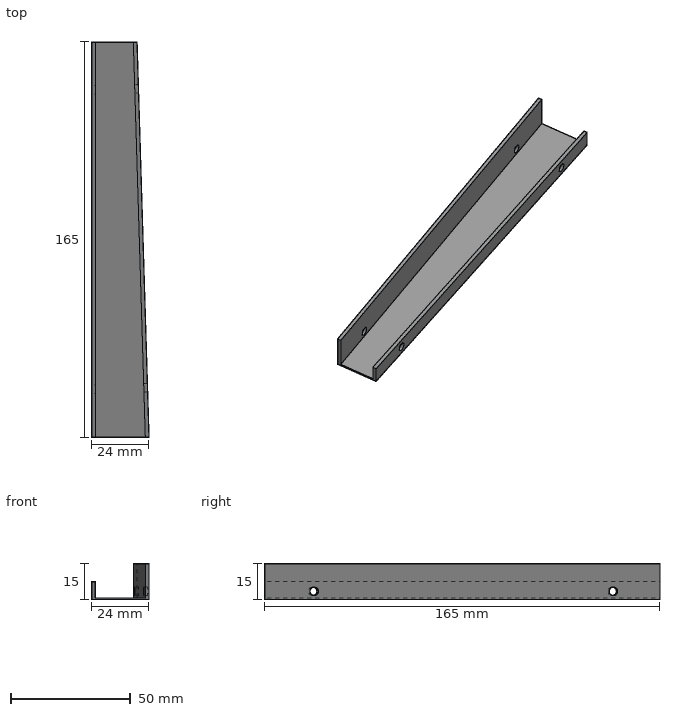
import cadquery as cq
import math

length = 165.0
front_width = 24.0
back_width = 19.0
tall_height = 15.0
low_height = 7.5
wall_thickness = 1.6
floor_thickness = 0.8

hole_diameter = 3.5
hole_end_distance = 20.0
hole_height = 3.5

taper_angle = math.atan((front_width - back_width) / length)
tall_wall_width_x = wall_thickness / math.cos(taper_angle)


def make_floor():
    """Base plate, narrower at the back end."""
    outline = [(0, 0), (front_width, 0), (back_width, length), (0, length)]
    return cq.Workplane("XY").polyline(outline).close().extrude(floor_thickness)


def make_low_wall():
    """Straight wall along the X = 0 side."""
    return cq.Workplane("XY").box(wall_thickness, length, low_height, centered=False)


def make_tall_wall():
    """Wall of even thickness that follows the tapered side."""
    outline = [
        (front_width - tall_wall_width_x, 0),
        (front_width, 0),
        (back_width, length),
        (back_width - tall_wall_width_x, length),
    ]
    return cq.Workplane("XY").polyline(outline).close().extrude(tall_height)


def make_hole_cutter(y):
    """Cylinder through both walls, centred in the low wall at y and square to the tall wall."""
    direction = cq.Vector(math.cos(taper_angle), math.sin(taper_angle), 0)
    low_wall_center = cq.Vector(wall_thickness / 2, y, hole_height)
    start = low_wall_center - direction * front_width
    cutter_length = 3 * front_width
    return cq.Solid.makeCylinder(hole_diameter / 2, cutter_length, start, direction)


result = make_floor().union(make_low_wall()).union(make_tall_wall())
for hole_y in (hole_end_distance, length - hole_end_distance):
    result = result.cut(make_hole_cutter(hole_y))